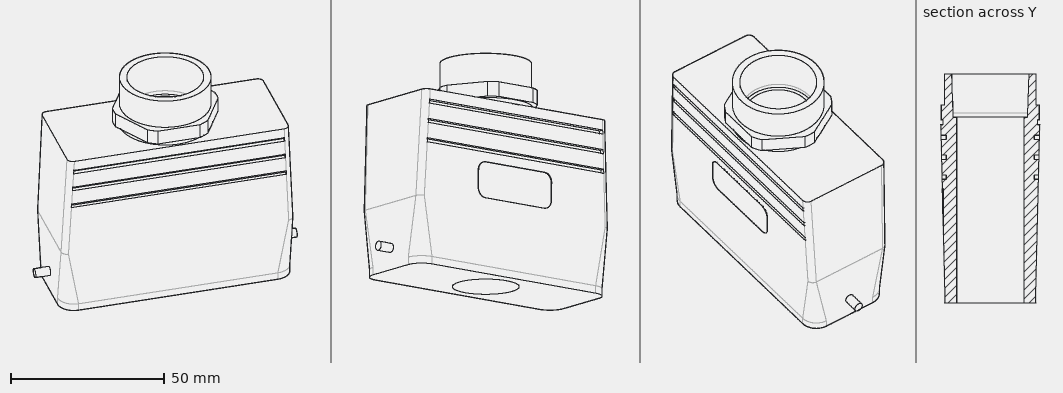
import cadquery as cq

LIP_HEIGHT = 2.5
KINK_HEIGHT = 22.4
BODY_HEIGHT = 58.2
LIP_WIDTH = 29.7
TOP_WIDTH = 32.4
BASE_LENGTH = 78.85
TOP_LENGTH = 75.3
LIP_CORNER_RADIUS = 5.5
UPPER_CORNER_RADIUS = 2.0

TOTAL_HEIGHT = 74.8
COLLAR_DIAMETER = 31.0
NUT_BOTTOM = 59.8
NUT_TOP = 64.7
NUT_ACROSS_FLATS = 32
NUT_CORNER_DIAMETER = 35.1
NECK_DIAMETER = 30.0

HOLE_DIAMETER = 21.8
SEAT_DIAMETER = 24.2
MOUTH_DIAMETER = 25.1
SEAT_BOTTOM = 60.7
SEAT_TOP = 62.0

PIN_DIAMETER = 3.0
PIN_HEIGHT = 7.3
PIN_SPAN = 89

GROOVE_COUNT = 3
GROOVE_HEIGHT = 1.3
GROOVE_PITCH = 6.5
TOP_GROOVE_BOTTOM = 53.4
GROOVE_FLOOR_X = 14.4

LABEL_LENGTH = 30.3
LABEL_HEIGHT = 12.0
LABEL_CENTRE_HEIGHT = 31.2
LABEL_CORNER_RADIUS = 3.0
LABEL_FLOOR_X = 15.3


def between(height, low_height, low_value, high_height, high_value):
    """Value at a height on the straight line between two heights."""
    share = (height - low_height) / (high_height - low_height)
    return low_value + share * (high_value - low_value)


def width_at(height):
    """Width along X of the flaring body above its lip."""
    return between(height, LIP_HEIGHT, LIP_WIDTH, BODY_HEIGHT, TOP_WIDTH)


def length_at(height):
    """Length along Y of the body above the kink."""
    return between(height, KINK_HEIGHT, BASE_LENGTH, BODY_HEIGHT, TOP_LENGTH)


def rounded_rectangle(width, length, radius):
    """Rectangle with all four corners rounded."""
    return cq.Sketch().rect(width, length).vertices().fillet(radius)


def loft_between(lower, upper):
    """Straight-sided solid between two (width, length, radius, height) outlines."""
    outlines = []
    for width, length, radius, height in (lower, upper):
        outline = rounded_rectangle(width, length, radius)
        outlines.append(outline.moved(cq.Location(cq.Vector(0, 0, height))))
    return cq.Workplane("XY").placeSketch(*outlines).loft(ruled=True)


def cylinder(diameter, bottom, top):
    """Vertical cylinder on the Z axis."""
    return cq.Workplane("XY").workplane(offset=bottom).circle(diameter / 2).extrude(top - bottom)


def make_body():
    """Straight lip, a skirt with shrinking corners and the tapered upper part."""
    lip_top = (LIP_WIDTH, BASE_LENGTH, LIP_CORNER_RADIUS, LIP_HEIGHT)
    kink = (width_at(KINK_HEIGHT), BASE_LENGTH, UPPER_CORNER_RADIUS, KINK_HEIGHT)
    body_top = (TOP_WIDTH, TOP_LENGTH, UPPER_CORNER_RADIUS, BODY_HEIGHT)
    lip_outline = rounded_rectangle(LIP_WIDTH, BASE_LENGTH, LIP_CORNER_RADIUS)
    lip = cq.Workplane("XY").placeSketch(lip_outline).extrude(LIP_HEIGHT)
    return lip.union(loft_between(lip_top, kink)).union(loft_between(kink, body_top))


def make_cable_entry():
    """Collar, hexagon nut with rounded corners, and plain neck."""
    hexagon = (
        cq.Workplane("XY")
        .workplane(offset=NUT_BOTTOM)
        .polygon(6, NUT_ACROSS_FLATS, circumscribed=True)
        .extrude(NUT_TOP - NUT_BOTTOM)
    )
    nut = hexagon.intersect(cylinder(NUT_CORNER_DIAMETER, NUT_BOTTOM, NUT_TOP))
    collar = cylinder(COLLAR_DIAMETER, BODY_HEIGHT, NUT_BOTTOM)
    return collar.union(nut).union(cylinder(NECK_DIAMETER, NUT_TOP, TOTAL_HEIGHT))


def make_bore():
    """Through hole, short seat above it and a mouth that widens upward."""
    profile = [
        (0, 0),
        (HOLE_DIAMETER / 2, 0),
        (HOLE_DIAMETER / 2, SEAT_BOTTOM),
        (SEAT_DIAMETER / 2, SEAT_BOTTOM),
        (SEAT_DIAMETER / 2, SEAT_TOP),
        (MOUTH_DIAMETER / 2, TOTAL_HEIGHT),
        (0, TOTAL_HEIGHT),
    ]
    return cq.Workplane("XZ").polyline(profile).close().revolve(360, (0, 0), (0, 1))


def make_pins():
    """One pin at each end, reaching into the body short of the bore."""
    pin_length = (PIN_SPAN - BASE_LENGTH) / 2 + LIP_CORNER_RADIUS
    pin = (
        cq.Workplane("XZ", origin=(0, -PIN_SPAN / 2 + pin_length, PIN_HEIGHT))
        .circle(PIN_DIAMETER / 2)
        .extrude(pin_length)
    )
    return pin.union(pin.mirror("XZ"))


def make_groove(bottom):
    """Cutter for one groove in the -X side, its ends following the tapered corners."""
    top = bottom + GROOVE_HEIGHT
    half_bottom = length_at(bottom) / 2 - UPPER_CORNER_RADIUS
    half_top = length_at(top) / 2 - UPPER_CORNER_RADIUS
    corners = [(-half_bottom, bottom), (half_bottom, bottom), (half_top, top), (-half_top, top)]
    cutter = cq.Workplane("YZ", origin=(-GROOVE_FLOOR_X, 0, 0)).polyline(corners).close()
    return cutter.extrude(GROOVE_FLOOR_X - TOP_WIDTH / 2)


def make_label_recess():
    """Cutter for the rounded recess, with a vertical floor."""
    outline = rounded_rectangle(LABEL_LENGTH, LABEL_HEIGHT, LABEL_CORNER_RADIUS)
    plane = cq.Workplane("YZ", origin=(-LABEL_FLOOR_X, 0, LABEL_CENTRE_HEIGHT))
    return plane.placeSketch(outline).extrude(LABEL_FLOOR_X - TOP_WIDTH / 2)


result = make_body().union(make_cable_entry()).union(make_pins()).cut(make_bore())

for index in range(GROOVE_COUNT):
    groove = make_groove(TOP_GROOVE_BOTTOM - index * GROOVE_PITCH)
    result = result.cut(groove).cut(groove.mirror("YZ"))

result = result.cut(make_label_recess())